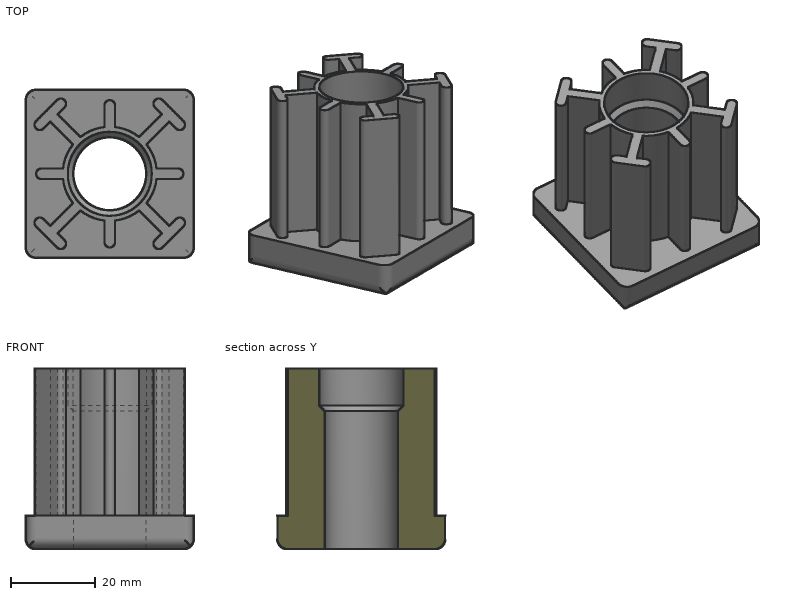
import cadquery as cq

total_height = 43.0
base_side = 40.0
base_height = 8.0
edge_radius = 2.5

tube_diameter = 22.35
bore_diameter = 20.0
through_diameter = 17.3
wide_bore_depth = 8.8
seat_height = (bore_diameter - through_diameter) / 2

rib_width = 2.5
straight_rib_reach = 17.5
bar_distance = 20.0
bar_length = 9.55

rib_height = total_height - base_height


def make_bottom_rounded_bar():
    """Square bar along Y whose two bottom edges are rounded."""
    return (
        cq.Workplane("XY")
        .box(base_side, base_side, base_height, centered=(True, True, False))
        .edges("|Y and <Z")
        .fillet(edge_radius)
    )


def make_base():
    """Plate with round upright corners; its bottom roundings meet in mitres."""
    plate = (
        cq.Workplane("XY")
        .box(base_side, base_side, base_height, centered=(True, True, False))
        .edges("|Z")
        .fillet(edge_radius)
    )
    bar_along_y = make_bottom_rounded_bar()
    bar_along_x = bar_along_y.rotate((0, 0, 0), (0, 0, 1), 90)
    return plate.intersect(bar_along_y).intersect(bar_along_x)


def make_straight_rib():
    """Rib along +X from the axis, with a round tip."""
    web_length = straight_rib_reach - rib_width / 2
    web = (
        cq.Workplane("XY", origin=(0, 0, base_height))
        .rect(web_length, rib_width)
        .extrude(rib_height)
        .translate((web_length / 2, 0, 0))
    )
    tip = (
        cq.Workplane("XY", origin=(web_length, 0, base_height))
        .circle(rib_width / 2)
        .extrude(rib_height)
    )
    return web.union(tip)


def make_tee_rib():
    """Rib along +X from the axis, ending in a crossbar with round ends."""
    web = (
        cq.Workplane("XY", origin=(bar_distance / 2, 0, base_height))
        .rect(bar_distance, rib_width)
        .extrude(rib_height)
    )
    crossbar = (
        cq.Workplane("XY", origin=(bar_distance, 0, base_height))
        .slot2D(bar_length, rib_width, 90)
        .extrude(rib_height)
    )
    return web.union(crossbar)


def make_bore():
    """Through hole, widened at the top above a conical seat."""
    wide_bottom = total_height - wide_bore_depth
    return (
        cq.Workplane("XZ")
        .moveTo(0, 0)
        .lineTo(through_diameter / 2, 0)
        .lineTo(through_diameter / 2, wide_bottom - seat_height)
        .lineTo(bore_diameter / 2, wide_bottom)
        .lineTo(bore_diameter / 2, total_height)
        .lineTo(0, total_height)
        .close()
        .revolve(360, (0, 0, 0), (0, 1, 0))
    )


tube = (
    cq.Workplane("XY", origin=(0, 0, base_height))
    .circle(tube_diameter / 2)
    .extrude(rib_height)
)
body = make_base().union(tube)

straight_rib = make_straight_rib()
tee_rib = make_tee_rib()
for side_angle in (0, 90, 180, 270):
    body = body.union(straight_rib.rotate((0, 0, 0), (0, 0, 1), side_angle))
    body = body.union(tee_rib.rotate((0, 0, 0), (0, 0, 1), side_angle + 45))

result = body.cut(make_bore())